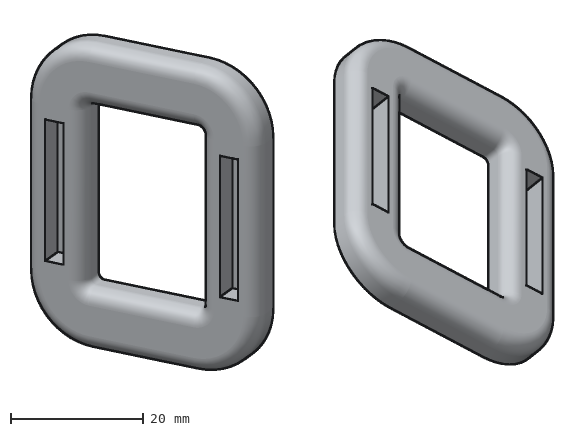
import cadquery as cq

height = 50.0
opening_width = 20.0
opening_height = 30.0
rim = (height - opening_height) / 2
width = opening_width + 2 * rim
thickness = 5.0
opening_radius = 1.0
outer_radius = opening_radius + rim
edge_round = thickness / 2

pocket_width = 3.1
pocket_height = 23.2
pocket_depth = 4.0
pocket_offset = 15.0

front_y = -thickness / 2


def upright_block(block_width, block_height, depth):
    """Block centred on the Y axis, running from the front face toward +Y."""
    return (
        cq.Workplane("XZ", origin=(0, front_y, 0))
        .rect(block_width, block_height)
        .extrude(-depth)
    )


def make_ring():
    outer = upright_block(width, height, thickness).edges("|Y").fillet(outer_radius)
    opening = upright_block(opening_width, opening_height, thickness).edges("|Y").fillet(opening_radius)
    return outer.cut(opening).faces("<Y").edges().fillet(edge_round)


result = make_ring()
for side in (-1, 1):
    pocket = upright_block(pocket_width, pocket_height, pocket_depth)
    result = result.cut(pocket.translate((side * pocket_offset, 0, 0)))